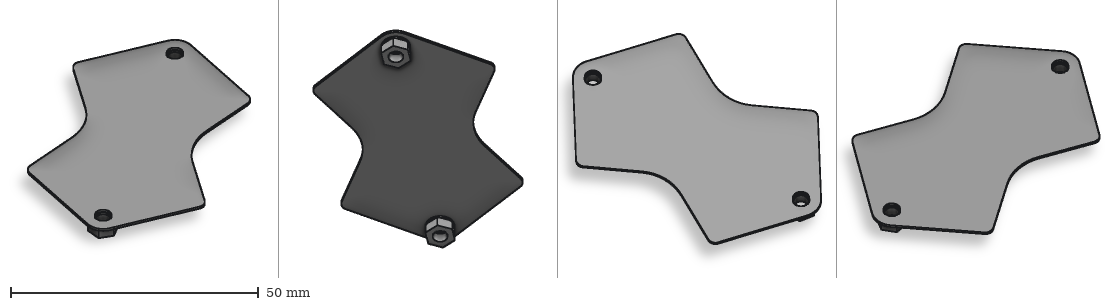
import cadquery as cq
import math

plate_length = 59.0
plate_thickness = 0.6
tip_radius = 4.1
tip_edge_angle = 36.2
side_edge_angle = 28.4
waist_width = 23.0
waist_radius = 10.05
corner_radius = 1.65

hole_spacing = plate_length - 2 * tip_radius
plate_hole_diameter = 3.4
washer_diameter = 5.9
washer_hole_diameter = 3.2
washer_thickness = 0.5
nut_across_flats = 5.5
nut_bore_diameter = 3.0
nut_height = 2.4

washer_bottom = -washer_thickness
nut_bottom = washer_bottom - nut_height
hole_centers = [(0, -hole_spacing / 2), (0, hole_spacing / 2)]


def fillet_at(body, points, radius):
    """Round the vertical edges that stand at the given XY points."""
    for x, y in points:
        edge = cq.selectors.NearestToPointSelector((x, y, plate_thickness / 2))
        body = body.edges("|Z").edges(edge).fillet(radius)
    return body


def make_plate():
    """Pinched hexagonal plate with rounded tips, corners and waist."""
    tip_slope = math.tan(math.radians(tip_edge_angle))
    side_slope = math.tan(math.radians(side_edge_angle))

    tip_y = hole_spacing / 2 + tip_radius / math.cos(math.radians(tip_edge_angle))
    waist_x = waist_width / 2 + waist_radius * (1 - 1 / math.cos(math.radians(side_edge_angle)))
    corner_y = (tip_y - tip_slope * waist_x) / (1 + tip_slope * side_slope)
    corner_x = waist_x + side_slope * corner_y

    tips = [(0, tip_y), (0, -tip_y)]
    waists = [(waist_x, 0), (-waist_x, 0)]
    corners = [(sx * corner_x, sy * corner_y) for sx in (1, -1) for sy in (1, -1)]
    upper_right, lower_right, upper_left, lower_left = corners

    outline = [tips[0], upper_right, waists[0], lower_right, tips[1], lower_left, waists[1], upper_left]
    plate = cq.Workplane("XY").polyline(outline).close().extrude(plate_thickness)
    plate = fillet_at(plate, tips, tip_radius)
    plate = fillet_at(plate, waists, waist_radius)
    plate = fillet_at(plate, corners, corner_radius)

    holes = cq.Workplane("XY").pushPoints(hole_centers).circle(plate_hole_diameter / 2).extrude(plate_thickness)
    return plate.cut(holes)


def make_washer(center):
    """Flat ring against the plate's underside."""
    return (
        cq.Workplane("XY", origin=(*center, washer_bottom))
        .circle(washer_diameter / 2)
        .circle(washer_hole_diameter / 2)
        .extrude(washer_thickness)
    )


def make_nut(center):
    """Hexagonal nut below the washer, with two flats facing the X direction."""
    across_corners = nut_across_flats / math.cos(math.pi / 6)
    return (
        cq.Workplane("XY", origin=(*center, nut_bottom))
        .transformed(rotate=(0, 0, 90))
        .polygon(6, across_corners)
        .circle(nut_bore_diameter / 2)
        .extrude(nut_height)
    )


plate = make_plate()
washers = [make_washer(center).val() for center in hole_centers]
nuts = [make_nut(center).val() for center in hole_centers]

result = cq.Compound.makeCompound([plate.val(), *washers, *nuts])